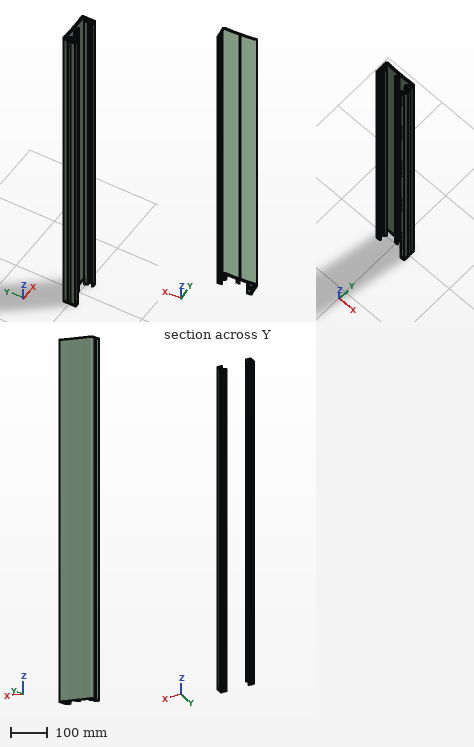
import cadquery as cq

length = 1000.0
width = 102.0
depth = 40.0
wall = 2.8
half_width = width / 2
back_y = depth / 2
front_y = -back_y

corner_radius = 2.5
inner_corner_radius = 3.0

dish_depth = 1.3
dish_half_width = 20.0
corner_land = 5.0
plate_thickness = 3.2

lip_length = 13.0

band_depth = 0.5
band_start = 15.0
band_end = 24.0

port_from_side = 10.0
port_from_back = 18.0
port_radius = 6.2
bore_radius = 2.0
slot_width = 2.4
port_fillet = 2.0

stem_width = 3.0
foot_width = 9.0
foot_thickness = 2.0
rib_end = 17.0


def box(x_min, x_max, from_back_min, from_back_max):
    """Full-length bar given its X range and its range of distances from the back."""
    return (
        cq.Workplane("XY", origin=(0, 0, -length / 2))
        .center((x_min + x_max) / 2, back_y - (from_back_min + from_back_max) / 2)
        .rect(x_max - x_min, from_back_max - from_back_min)
        .extrude(length)
    )


def rod(x, from_back, radius):
    """Full-length round bar."""
    return (
        cq.Workplane("XY", origin=(0, 0, -length / 2))
        .center(x, back_y - from_back)
        .circle(radius)
        .extrude(length)
    )


def both_sides(left):
    """A left-hand feature together with its mirror image about the YZ plane."""
    return left.union(left.mirror("YZ"))


def edge_pair(body, x, y):
    """Select the two lengthwise edges at (x, y) and (-x, y)."""
    right = cq.selectors.NearestToPointSelector((x, y, 0))
    left = cq.selectors.NearestToPointSelector((-x, y, 0))
    return body.edges(right + left)


def channel():
    """Dished back plate, side walls and lips as one outline."""
    inner_x = half_width - wall
    lip_x = half_width - lip_length
    right_half = [
        (dish_half_width, back_y - dish_depth),
        (half_width - corner_land, back_y),
        (half_width, back_y),
        (half_width, front_y),
        (lip_x, front_y),
        (lip_x, front_y + wall),
        (inner_x, front_y + wall),
        (inner_x, back_y - plate_thickness),
        (dish_half_width, back_y - dish_depth - plate_thickness),
    ]
    left_half = [(-x, y) for x, y in reversed(right_half)]
    body = (
        cq.Workplane("XY", origin=(0, 0, -length / 2))
        .polyline(right_half + left_half)
        .close()
        .extrude(length)
    )
    outer_corners = edge_pair(body, half_width, back_y)
    body = outer_corners.fillet(corner_radius)
    inner_corners = edge_pair(body, inner_x, back_y - plate_thickness)
    return inner_corners.fillet(inner_corner_radius)


def screw_port():
    """Left screw port, without its bore."""
    port_x = port_from_side - half_width
    block = box(
        wall / 2 - half_width,
        port_x,
        port_from_back - port_radius,
        port_from_back + port_radius,
    )
    return block.union(rod(port_x, port_from_back, port_radius))


def port_opening():
    """Bore of the left screw port and the slot that opens it."""
    port_x = port_from_side - half_width
    slot = box(
        port_x - slot_width / 2,
        port_x + slot_width / 2,
        port_from_back,
        port_from_back + 2 * port_radius,
    )
    return rod(port_x, port_from_back, bore_radius).union(slot)


def center_rib():
    """T-shaped rib hanging from the plate."""
    stem = box(-stem_width / 2, stem_width / 2, dish_depth + plate_thickness / 2, rib_end)
    foot = box(-foot_width / 2, foot_width / 2, rib_end - foot_thickness, rib_end)
    return stem.union(foot)


side_band = box(-half_width, band_depth - half_width, band_start, band_end)

result = channel()
result = result.union(both_sides(screw_port())).union(center_rib())
port_front_y = back_y - port_from_back - port_radius
result = edge_pair(result, half_width - wall, port_front_y).fillet(port_fillet)
result = result.cut(both_sides(port_opening())).cut(both_sides(side_band))